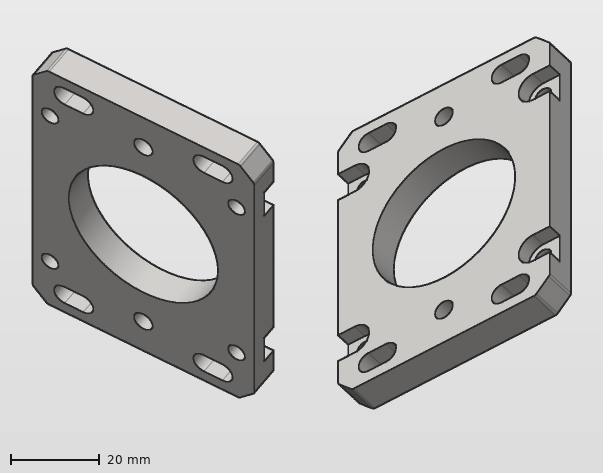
import cadquery as cq

width = 59.5
thickness = 8.0
height = 80.2
corner_chamfer = 4.0
corner_blend = 1.0

bore_diameter = 40.0
centre_hole_diameter = 5.0
centre_hole_offset = 30.0
slot_length = 10.5
slot_width = 5.5
slot_offset_x = 18.7
slot_offset_z = 34.2

screw_hole_diameter = 4.5
screw_offset = 25.0
recess_width = 8.0
recess_depth = 3.85


def mirrored_points(x, z):
    """Four points placed symmetrically about the plate centre."""
    return [(sx * x, sz * z) for sx in (-1, 1) for sz in (-1, 1)]


def make_plate():
    """Upright plate with chamfered corners, each chamfer blended into the sides."""
    plate = cq.Workplane("XY").box(width, thickness, height)
    plate = plate.edges("|Y").chamfer(corner_chamfer)
    return plate.edges("|Y").fillet(corner_blend)


def back_plane():
    """Fresh workplane on the back face, facing the front of the plate."""
    return cq.Workplane("XZ", origin=(0, thickness / 2, 0))


def make_openings():
    """Main bore, centre-line holes, corner slots and screw holes."""
    centre_points = [(0, -centre_hole_offset), (0, centre_hole_offset)]
    slot_points = mirrored_points(slot_offset_x, slot_offset_z)
    screw_points = mirrored_points(screw_offset, screw_offset)
    outlines = [
        back_plane().circle(bore_diameter / 2),
        back_plane().pushPoints(centre_points).circle(centre_hole_diameter / 2),
        back_plane().pushPoints(slot_points).slot2D(slot_length, slot_width),
        back_plane().pushPoints(screw_points).circle(screw_hole_diameter / 2),
    ]
    return [outline.extrude(thickness) for outline in outlines]


def make_recess(side, z):
    """U-shaped pocket around one screw hole, running out through the side."""
    run_out = recess_width
    floor = cq.Workplane("XZ", origin=(0, thickness / 2 - recess_depth, 0))
    round_end = floor.center(side * screw_offset, z).circle(recess_width / 2).extrude(-recess_depth)
    straight = (
        floor.center(side * (screw_offset + run_out / 2), z)
        .rect(run_out, recess_width)
        .extrude(-recess_depth)
    )
    return round_end.union(straight)


result = make_plate()
for opening in make_openings():
    result = result.cut(opening)
for side, z in mirrored_points(1, screw_offset):
    result = result.cut(make_recess(side, z))